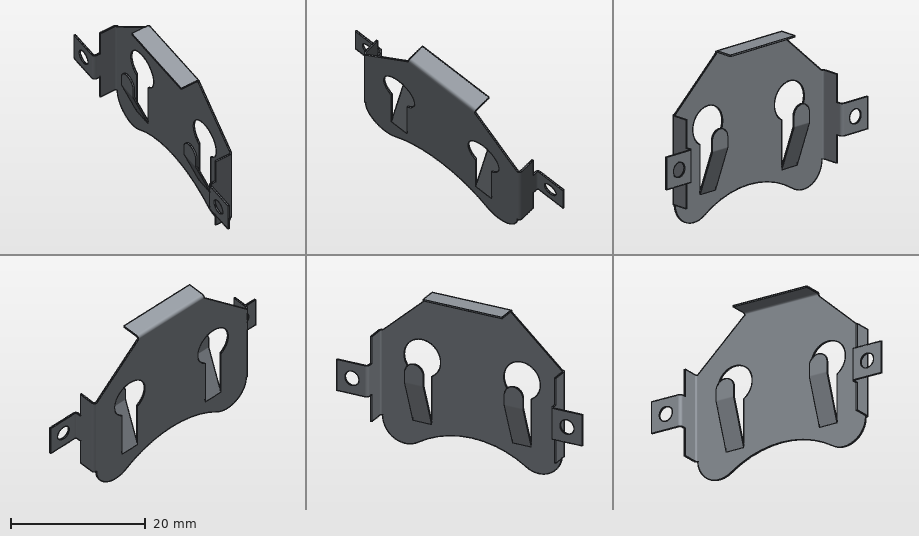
import cadquery as cq
import math

thickness = 0.25
bend_inner = 0.27
bend_outer = bend_inner + thickness

overall_width = 41.35
overall_depth = 4.25
overall_height = 25.9

plate_half_width = 15.1
lobe_radius = 3.85
arch_top = 3.35
shoulder_z = 17.77

lip_width = 13.25
lip_depth = 3.25

flange_depth = 3.05
tab_height = 5.1
tab_center_z = 10.83
tab_hole_diameter = 2.35
tab_hole_x = 18.1

keyhole_x = 8.4
keyhole_z = 14.6
keyhole_diameter = 6.15
tongue_width = 3.15
tongue_root_z = 4.1
tongue_bend_z = 11.35
tongue_tip_z = 14.67
tongue_depth = 2.9

plate_top = overall_height - bend_outer
flange_outer_x = plate_half_width + bend_outer
flange_inner_x = flange_outer_x - thickness
flange_bottom = lobe_radius
tab_front_y = -overall_depth
tab_back_y = tab_front_y + thickness


def extrude_along_z(profile, z_low, z_high):
    """Extrude a closed XY profile between two heights."""
    return profile.extrude(z_high - z_low).translate((0, 0, z_low))


def main_plate():
    """Flat plate: sloped shoulders, two round lobes and an arch between them."""
    lobe_x = plate_half_width - lobe_radius
    lobe_z = lobe_radius
    rise = lobe_z - arch_top
    arch_radius = (lobe_x**2 + rise**2 - lobe_radius**2) / (2 * (lobe_radius - rise))
    arch_center_z = arch_top - arch_radius
    fraction = arch_radius / (arch_radius + lobe_radius)
    tangent_x = lobe_x * fraction
    tangent_z = arch_center_z + (lobe_z - arch_center_z) * fraction
    return (
        cq.Workplane("XZ")
        .moveTo(-lip_width / 2, plate_top)
        .lineTo(lip_width / 2, plate_top)
        .lineTo(plate_half_width, shoulder_z)
        .lineTo(plate_half_width, lobe_z)
        .threePointArc((lobe_x, 0), (tangent_x, tangent_z))
        .threePointArc((0, arch_top), (-tangent_x, tangent_z))
        .threePointArc((-lobe_x, 0), (-plate_half_width, lobe_z))
        .lineTo(-plate_half_width, shoulder_z)
        .close()
        .extrude(thickness)
    )


def top_lip():
    """Lip folded forward from the top edge of the plate."""
    return (
        cq.Workplane("YZ")
        .moveTo(0, plate_top)
        .radiusArc((-bend_outer, overall_height), -bend_outer)
        .lineTo(-lip_depth, overall_height)
        .lineTo(-lip_depth, overall_height - thickness)
        .lineTo(-bend_outer, overall_height - thickness)
        .radiusArc((-thickness, plate_top), bend_inner)
        .close()
        .extrude(lip_width / 2, both=True)
    )


def side_flange():
    """Flange on the +X side with a tab folded outward from its middle."""
    flange_profile = (
        cq.Workplane("XY")
        .moveTo(plate_half_width, 0)
        .radiusArc((flange_outer_x, -bend_outer), bend_outer)
        .lineTo(flange_outer_x, -flange_depth)
        .lineTo(flange_inner_x, -flange_depth)
        .lineTo(flange_inner_x, -bend_outer)
        .radiusArc((plate_half_width, -thickness), -bend_inner)
        .close()
    )
    tab_bend_x = flange_inner_x + bend_outer
    tab_bend_y = tab_front_y + bend_outer
    tab_profile = (
        cq.Workplane("XY")
        .moveTo(flange_inner_x, -flange_depth)
        .lineTo(flange_inner_x, tab_bend_y)
        .radiusArc((tab_bend_x, tab_front_y), -bend_outer)
        .lineTo(overall_width / 2, tab_front_y)
        .lineTo(overall_width / 2, tab_back_y)
        .lineTo(tab_bend_x, tab_back_y)
        .radiusArc((flange_outer_x, tab_bend_y), bend_inner)
        .lineTo(flange_outer_x, -flange_depth)
        .close()
    )
    hole = (
        cq.Workplane("XZ")
        .center(tab_hole_x, tab_center_z)
        .circle(tab_hole_diameter / 2)
        .extrude(overall_depth)
    )
    flange = extrude_along_z(flange_profile, flange_bottom, shoulder_z)
    tab_bottom = tab_center_z - tab_height / 2
    tab = extrude_along_z(tab_profile, tab_bottom, tab_bottom + tab_height)
    return flange.union(tab.cut(hole))


def keyhole():
    """Round opening with a slot running down to the tongue root."""
    round_part = (
        cq.Workplane("XZ")
        .center(keyhole_x, keyhole_z)
        .circle(keyhole_diameter / 2)
        .extrude(thickness)
    )
    slot = (
        cq.Workplane("XZ")
        .center(keyhole_x, (tongue_root_z + keyhole_z) / 2)
        .rect(tongue_width, keyhole_z - tongue_root_z)
        .extrude(thickness)
    )
    return round_part.union(slot)


def tongue():
    """Tongue sloping forward from the slot bottom, ending in an upright round tip."""
    slope = math.atan2(tongue_depth - thickness, tongue_bend_z - tongue_root_z)
    tip_rear_y = thickness - tongue_depth
    rear_bend_z = tongue_bend_z + thickness * math.tan(slope / 2)
    rear_root_z = rear_bend_z + tip_rear_y / math.tan(slope)
    side_profile = [
        (0, tongue_root_z),
        (-thickness, tongue_root_z),
        (-tongue_depth, tongue_bend_z),
        (-tongue_depth, tongue_tip_z),
        (tip_rear_y, tongue_tip_z),
        (tip_rear_y, rear_bend_z),
        (0, rear_root_z),
    ]
    band = cq.Workplane("YZ").polyline(side_profile).close().extrude(tongue_width / 2, both=True)
    front_bend = cq.NearestToPointSelector((0, -tongue_depth, tongue_bend_z))
    rear_bend = cq.NearestToPointSelector((0, tip_rear_y, rear_bend_z))
    band = band.edges(front_bend).fillet(bend_outer)
    band = band.edges(rear_bend).fillet(bend_inner)
    tip_radius = tongue_width / 2
    tip_shoulder_z = tongue_tip_z - tip_radius
    front_outline = (
        cq.Workplane("XZ")
        .moveTo(-tip_radius, tongue_root_z)
        .lineTo(-tip_radius, tip_shoulder_z)
        .threePointArc((0, tongue_tip_z), (tip_radius, tip_shoulder_z))
        .lineTo(tip_radius, tongue_root_z)
        .close()
        .extrude(tongue_depth)
    )
    return band.intersect(front_outline).translate((keyhole_x, 0, 0))


def mirrored_pair(body):
    """The body together with its mirror image across X = 0."""
    return body.union(body.mirror("YZ"))


result = (
    main_plate()
    .cut(mirrored_pair(keyhole()))
    .union(top_lip())
    .union(mirrored_pair(side_flange()))
    .union(mirrored_pair(tongue()))
)